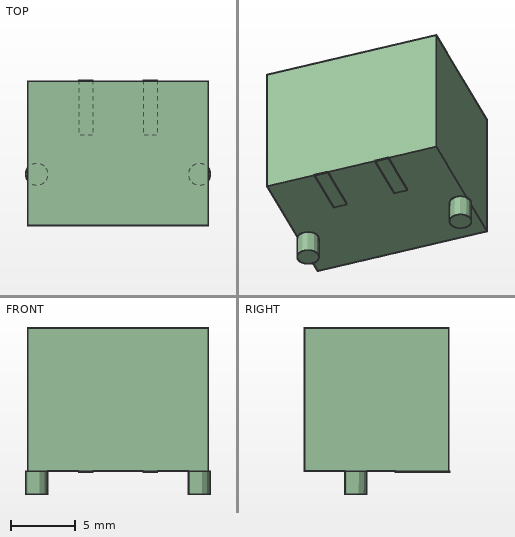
import cadquery as cq

HOUSING_LENGTH = 14.0
HOUSING_WIDTH = 11.2
HOUSING_HEIGHT = 11.1

OVERALL_LENGTH = 14.3
PIN_DIAMETER = 1.7
PIN_LENGTH = 1.8
PIN_Y = -1.6
PIN_X = (OVERALL_LENGTH - PIN_DIAMETER) / 2

CONTACT_WIDTH = 1.1
CONTACT_LENGTH = 4.2
CONTACT_THICKNESS = 0.1
CONTACT_SPACING = 5.0
CONTACT_OVERHANG = 0.06
CONTACT_X = CONTACT_SPACING / 2
CONTACT_Y = HOUSING_WIDTH / 2 + CONTACT_OVERHANG - CONTACT_LENGTH / 2


def make_housing():
    """Block standing on the plane Z = 0."""
    return cq.Workplane("XY").box(
        HOUSING_LENGTH, HOUSING_WIDTH, HOUSING_HEIGHT, centered=(True, True, False)
    )


def make_pin(x):
    """Round pin hanging down from the underside of the housing."""
    return cq.Workplane("XY").center(x, PIN_Y).circle(PIN_DIAMETER / 2).extrude(-PIN_LENGTH)


def make_contact(x):
    """Flat strip lying against the underside of the housing."""
    return (
        cq.Workplane("XY")
        .center(x, CONTACT_Y)
        .rect(CONTACT_WIDTH, CONTACT_LENGTH)
        .extrude(-CONTACT_THICKNESS)
    )


housing = make_housing()
pins = [make_pin(side * PIN_X).val() for side in (-1, 1)]
contacts = [make_contact(side * CONTACT_X).val() for side in (-1, 1)]

result = cq.Compound.makeCompound([housing.val(), *pins, *contacts])